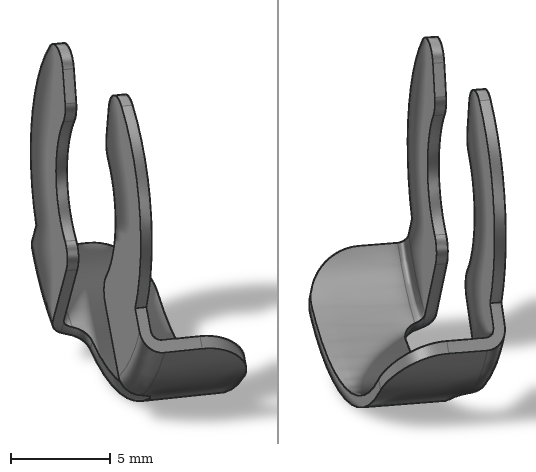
import cadquery as cq
import math

thickness = 0.6
bend_inner_radius = 0.5
bend_outer_radius = bend_inner_radius + thickness
wall_radius = 10.5
wall_inner_radius = wall_radius - thickness
depth = 6.1

tang_angle = 58.0
tang_width = 4.42
notch_depth = 1.81
notch_radius = notch_depth - thickness
wall_corner_radius = 3.0

ear_outer_radius = 8.36
ear_inner_radius = 4.5
ear_top = 6.65
tip_radius = 1.2
tip_edge_angle = 12.0
ear_corner_radius = 1.2

tang_x = math.cos(math.radians(tang_angle))
tang_z = -math.sin(math.radians(tang_angle))


def polar(radius, degrees):
    """Point in the XZ plane at a given radius and angle from +X."""
    angle = math.radians(degrees)
    return radius * math.cos(angle), radius * math.sin(angle)


def make_bent_sheet():
    """Flat flange, bend and cylindrical wall, revolved about the Y axis."""
    bend_start = wall_radius - bend_outer_radius
    diagonal = math.sqrt(0.5)
    outer_mid = (bend_start + bend_outer_radius * diagonal, bend_outer_radius * (1 - diagonal))
    inner_mid = (bend_start + bend_inner_radius * diagonal, bend_outer_radius - bend_inner_radius * diagonal)
    return (
        cq.Workplane("XY")
        .moveTo(ear_inner_radius, 0)
        .lineTo(bend_start, 0)
        .threePointArc(outer_mid, (wall_radius, bend_outer_radius))
        .lineTo(wall_radius, depth)
        .lineTo(wall_inner_radius, depth)
        .lineTo(wall_inner_radius, bend_outer_radius)
        .threePointArc(inner_mid, (bend_start, thickness))
        .lineTo(ear_inner_radius, thickness)
        .close()
        .revolve(360, (0, 0, 0), (0, 1, 0))
    )


def make_trim_prism():
    """Right-hand blank outline, swept along the tang direction and cut off at X = 0."""
    plane = cq.Plane(origin=(0, 0, 0), xDir=(-tang_z, 0, tang_x), normal=(-tang_x, 0, -tang_z))
    prism = (
        cq.Workplane(plane)
        .lineTo(tang_width, 0)
        .lineTo(tang_width, depth - wall_corner_radius)
        .radiusArc((tang_width - wall_corner_radius, depth), -wall_corner_radius)
        .lineTo(-wall_radius, depth)
        .lineTo(-wall_radius, notch_depth)
        .lineTo(-notch_radius, notch_depth)
        .radiusArc((0, thickness), notch_radius)
        .close()
        .extrude(-2 * wall_radius)
    )
    size = 4 * wall_radius
    right_half = cq.Workplane("XY").box(size, size, size).translate((size / 2, 0, 0))
    return prism.intersect(right_half)


def make_ear():
    """Right-hand ear down to the radial edge of the tang, and its sharp inner tip corner."""
    tip_z = ear_top - tip_radius
    tip_x = math.sqrt((ear_outer_radius - tip_radius) ** 2 - tip_z**2)
    tip_angle = math.degrees(math.atan2(tip_z, tip_x))
    outer_tangent = polar(ear_outer_radius, tip_angle)

    offset_x, offset_z = polar(tip_radius, 180 - tip_edge_angle)
    edge_start = (tip_x + offset_x, tip_z + offset_z)
    edge_dir = polar(1, 270 - tip_edge_angle)
    along = edge_start[0] * edge_dir[0] + edge_start[1] * edge_dir[1]
    start_distance = math.hypot(*edge_start)
    reach = -along - math.sqrt(along**2 - start_distance**2 + ear_inner_radius**2)
    edge_end = (edge_start[0] + reach * edge_dir[0], edge_start[1] + reach * edge_dir[1])

    ear_body = (
        cq.Workplane("XZ")
        .moveTo(*edge_end)
        .lineTo(*edge_start)
        .threePointArc((tip_x, ear_top), outer_tangent)
        .threePointArc((ear_outer_radius, 0), polar(ear_outer_radius, -tang_angle))
        .lineTo(*polar(ear_inner_radius, -tang_angle))
        .threePointArc((ear_inner_radius, 0), edge_end)
        .close()
        .extrude(-thickness)
    )
    return ear_body, edge_end


def round_ear_corner(body, corner):
    """Round the through-thickness edge standing at a corner given as (x, z)."""
    x, z = corner
    nearest = cq.selectors.NearestToPointSelector((x, thickness / 2, z))
    return body.edges("|Y").edges(nearest).fillet(ear_corner_radius)


ear, tip_corner = make_ear()
half = make_bent_sheet().intersect(make_trim_prism()).union(ear).clean()
for corner_point in (tip_corner, polar(ear_inner_radius, -tang_angle)):
    half = round_ear_corner(half, corner_point)

result = half.union(half.mirror("YZ")).clean()